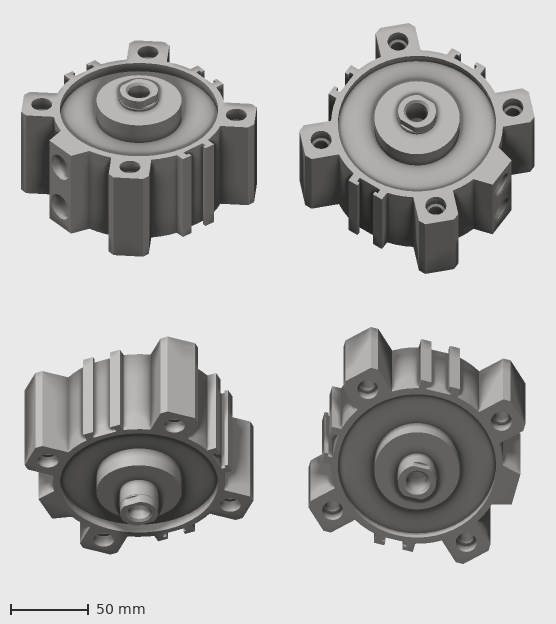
import cadquery as cq
import math

SPAN = 120.0
PORT_FACE_REACH = 66.0
TOTAL_HEIGHT = 103.0

BODY_HEIGHT = 62.0
BARREL_RADIUS = 55.5
RECESS_RADIUS = 51.0
RECESS_DEPTH = 6.5
COLLAR_RADIUS = 27.5
COLLAR_PROJECTION = 7.4

EAR_WIDTH = 26.0
EAR_REACH = 75.3
BOLT_CIRCLE_RADIUS = 63.0
BOLT_HOLE_DIAMETER = 9.5
COUNTERBORE_DIAMETER = 13.5
COUNTERBORE_DEPTH = 8.6

RAIL_WIDTH = 26.0
SLOT_MOUTH_WIDTH = 12.0
SLOT_INNER_WIDTH = 16.0
SLOT_LIP = 2.5
SLOT_DEPTH = 5.5

PORT_FACE_WIDTH = 22.0
PORT_BLOCK_FLARE = 15.0
PORT_SPACING = 31.5
PORT_DIAMETER = 15.8
PORT_CHAMFER = 1.0
PORT_DEPTH = 15.1

ROD_RADIUS = 12.5
ROD_TOP_PROJECTION = 8.1
STUB_RADIUS = 12.2
STUB_LENGTH = 6.0
SHOULDER_CHAMFER = ROD_RADIUS - STUB_RADIUS
FLAT_SPACING = 21.9
FLAT_LENGTH = 5.4
SOCKET_RADIUS = 7.0
SOCKET_CHAMFER = 1.5
SOCKET_DEPTH = 20.2
SOCKET_POINT_ANGLE = 118.0

BODY_TOP = BODY_HEIGHT / 2
COLLAR_TOP = BODY_TOP + COLLAR_PROJECTION
ROD_TOP = COLLAR_TOP + ROD_TOP_PROJECTION
ROD_BOTTOM = ROD_TOP - TOTAL_HEIGHT
HALF_SPAN = SPAN / 2
EAR_ANGLES = (45, 135, 225, 315)
RAIL_ANGLES = (0, 90, 180)

FULL_TURN = 360
ORIGIN = (0, 0, 0)
AXIS_TIP = (0, 1, 0)


def centred_prism(length, width):
    """Box of body height running from the axis along +X."""
    return cq.Workplane("XY").box(length, width, BODY_HEIGHT, centered=(False, True, True))


def about_axis(shape, angle):
    """Turn a shape about the cylinder axis."""
    return shape.rotate(ORIGIN, (0, 0, 1), angle)


def make_ears():
    """Four diagonal arms, their corners clipped by the square envelope."""
    ears = cq.Workplane("XY")
    for angle in EAR_ANGLES:
        ears = ears.add(about_axis(centred_prism(EAR_REACH, EAR_WIDTH), angle))
    envelope = cq.Workplane("XY").box(SPAN, SPAN, BODY_HEIGHT)
    return ears.combine().intersect(envelope)


def make_slot():
    """T-shaped groove that runs the full height of the +X rail."""
    mouth = centred_prism(SLOT_DEPTH, SLOT_MOUTH_WIDTH)
    undercut = centred_prism(SLOT_DEPTH - SLOT_LIP, SLOT_INNER_WIDTH)
    return mouth.union(undercut).translate((HALF_SPAN - SLOT_DEPTH, 0, 0))


def make_port_block():
    """Wedge that widens from the port face back to the axis."""
    half_face = PORT_FACE_WIDTH / 2
    half_root = half_face + PORT_FACE_REACH * math.tan(math.radians(PORT_BLOCK_FLARE))
    outline = [
        (-half_face, -PORT_FACE_REACH),
        (half_face, -PORT_FACE_REACH),
        (half_root, 0),
        (-half_root, 0),
    ]
    return cq.Workplane("XY").workplane(offset=-BODY_TOP).polyline(outline).close().extrude(BODY_HEIGHT)


def make_port():
    """Flat-bottomed port with a chamfered mouth, cut inward from the port face."""
    radius = PORT_DIAMETER / 2
    profile = [
        (0, 0),
        (radius + PORT_CHAMFER, 0),
        (radius, PORT_CHAMFER),
        (radius, PORT_DEPTH),
        (0, PORT_DEPTH),
    ]
    port = cq.Workplane("XY").polyline(profile).close().revolve(FULL_TURN, ORIGIN, AXIS_TIP)
    return port.translate((0, -PORT_FACE_REACH, 0))


def make_end_recess():
    """Annular pocket around the upper collar."""
    return (
        cq.Workplane("XY")
        .workplane(offset=BODY_TOP - RECESS_DEPTH)
        .circle(RECESS_RADIUS)
        .circle(COLLAR_RADIUS)
        .extrude(RECESS_DEPTH)
    )


def make_bolt_hole():
    """Through hole on the +X axis, counterbored at both ends."""
    hole = cq.Workplane("XY").circle(BOLT_HOLE_DIAMETER / 2).extrude(BODY_TOP, both=True)
    counterbore = (
        cq.Workplane("XY")
        .workplane(offset=BODY_TOP - COUNTERBORE_DEPTH)
        .circle(COUNTERBORE_DIAMETER / 2)
        .extrude(COUNTERBORE_DEPTH)
    )
    hole = hole.union(counterbore).union(counterbore.mirror("XY"))
    return hole.translate((BOLT_CIRCLE_RADIUS, 0, 0))


def make_housing():
    body = cq.Workplane("XY").circle(BARREL_RADIUS).extrude(BODY_TOP, both=True)
    body = body.union(make_ears()).union(make_port_block())
    for angle in RAIL_ANGLES:
        body = body.union(about_axis(centred_prism(HALF_SPAN, RAIL_WIDTH), angle))
    for angle in RAIL_ANGLES:
        body = body.cut(about_axis(make_slot(), angle))
    for angle in EAR_ANGLES:
        body = body.cut(about_axis(make_bolt_hole(), angle))
    for height in (-PORT_SPACING / 2, PORT_SPACING / 2):
        body = body.cut(make_port().translate((0, 0, height)))

    recess = make_end_recess()
    body = body.cut(recess).cut(recess.mirror("XY"))
    body = body.union(cq.Workplane("XY").circle(COLLAR_RADIUS).extrude(COLLAR_TOP, both=True))
    return body.cut(cq.Workplane("XY").circle(ROD_RADIUS).extrude(COLLAR_TOP, both=True))


def make_rod_end(length):
    """Rod from z = 0 up to its end, with a shouldered stub, two flats and a drilled socket."""
    shoulder = length - STUB_LENGTH
    profile = [
        (0, 0),
        (ROD_RADIUS, 0),
        (ROD_RADIUS, shoulder - SHOULDER_CHAMFER),
        (STUB_RADIUS, shoulder),
        (STUB_RADIUS, length),
        (0, length),
    ]
    end = cq.Workplane("XZ").polyline(profile).close().revolve(FULL_TURN, ORIGIN, AXIS_TIP)

    for side in (-1, 1):
        waste = cq.Workplane("XY").box(
            ROD_RADIUS, 2 * ROD_RADIUS, FLAT_LENGTH, centered=(True, True, False)
        )
        offset = side * (FLAT_SPACING + ROD_RADIUS) / 2
        end = end.cut(waste.translate((offset, 0, length - FLAT_LENGTH)))

    point_depth = SOCKET_RADIUS / math.tan(math.radians(SOCKET_POINT_ANGLE / 2))
    socket_profile = [
        (0, length),
        (SOCKET_RADIUS + SOCKET_CHAMFER, length),
        (SOCKET_RADIUS, length - SOCKET_CHAMFER),
        (SOCKET_RADIUS, length - SOCKET_DEPTH),
        (0, length - SOCKET_DEPTH - point_depth),
    ]
    socket = cq.Workplane("XZ").polyline(socket_profile).close().revolve(FULL_TURN, ORIGIN, AXIS_TIP)
    return end.cut(socket)


def make_rod():
    upper = make_rod_end(ROD_TOP)
    lower = make_rod_end(-ROD_BOTTOM).mirror("XY")
    return upper.union(lower)


housing = make_housing()
rod = make_rod()

result = cq.Compound.makeCompound([housing.val(), rod.val()])